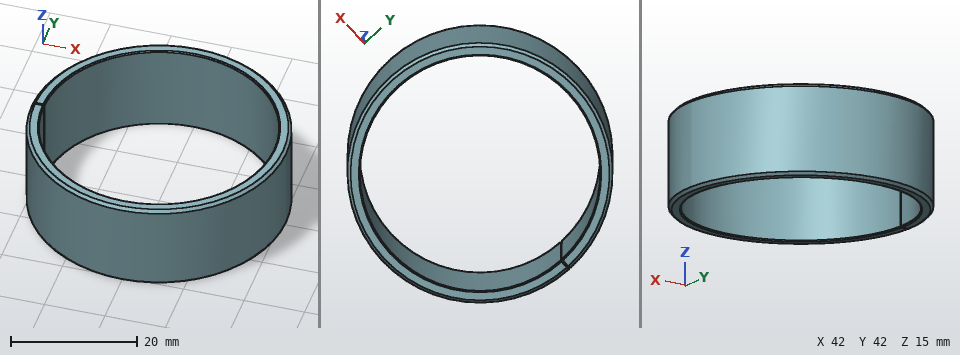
import cadquery as cq

outer_diameter = 42.0
inner_diameter = 38.0
height = 15.0
outer_chamfer = 0.5
inner_chamfer = 0.2

slit_width = 0.3

outer_radius = outer_diameter / 2
inner_radius = inner_diameter / 2


def make_ring():
    """Revolve the wall section, chamfered at all four corners."""
    half_height = height / 2
    section = (
        cq.Workplane("XZ")
        .moveTo(inner_radius + inner_chamfer, -half_height)
        .lineTo(outer_radius - outer_chamfer, -half_height)
        .lineTo(outer_radius, -half_height + outer_chamfer)
        .lineTo(outer_radius, half_height - outer_chamfer)
        .lineTo(outer_radius - outer_chamfer, half_height)
        .lineTo(inner_radius + inner_chamfer, half_height)
        .lineTo(inner_radius, half_height - inner_chamfer)
        .lineTo(inner_radius, -half_height + inner_chamfer)
        .close()
    )
    return section.revolve(360, (0, 0, 0), (0, 1, 0))


def make_slit():
    """Box running from the axis out past the -X wall, over the full height."""
    return cq.Workplane("XY").box(
        outer_diameter, slit_width, height, centered=(True, False, True)
    ).translate((-outer_radius, 0, 0))


result = make_ring().cut(make_slit())